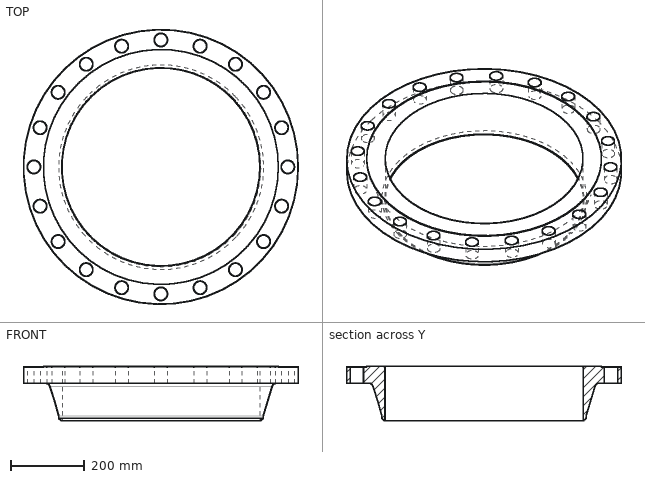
import cadquery as cq

flange_diameter = 749.0
total_height = 149.0
bore_diameter = 539.5

raised_face_diameter = 641.0
raised_face_height = 2.0
plate_thickness = 45.0

hub_top_diameter = 612.0
hub_fillet = 11.0
weld_end_diameter = 559.0
weld_end_height = 13.5
bevel_height = 7.0
weld_land = 2.0

bolt_count = 20
bolt_circle_diameter = 692.0
bolt_hole_diameter = 35.0

plate_top = total_height - raised_face_height
plate_bottom = plate_top - plate_thickness

bore_radius = bore_diameter / 2
weld_end_radius = weld_end_diameter / 2
hub_top_radius = hub_top_diameter / 2
flange_radius = flange_diameter / 2
raised_face_radius = raised_face_diameter / 2


def make_body():
    """Revolve the flange, hub and bevelled weld end about Z."""
    profile = [
        (bore_radius, 0),
        (bore_radius + weld_land, 0),
        (weld_end_radius, bevel_height),
        (weld_end_radius, weld_end_height),
        (hub_top_radius, plate_bottom),
        (flange_radius, plate_bottom),
        (flange_radius, plate_top),
        (raised_face_radius, plate_top),
        (raised_face_radius, total_height),
        (bore_radius, total_height),
    ]
    return cq.Workplane("XZ").polyline(profile).close().revolve(360, (0, 0), (0, 1))


def round_hub_root(body):
    """Blend the hub into the underside of the plate."""
    half_box = hub_top_radius + hub_fillet
    margin = 1.0
    root = cq.selectors.BoxSelector(
        (-half_box, -half_box, plate_bottom - margin),
        (half_box, half_box, plate_bottom + margin),
        boundingbox=True,
    )
    return body.edges(root).fillet(hub_fillet)


def drill_bolt_holes(body):
    """Cut the ring of through holes in the plate."""
    holes = (
        cq.Workplane("XY")
        .workplane(offset=plate_bottom)
        .polarArray(bolt_circle_diameter / 2, 0, 360, bolt_count)
        .circle(bolt_hole_diameter / 2)
        .extrude(plate_thickness)
    )
    return body.cut(holes)


result = drill_bolt_holes(round_hub_root(make_body()))